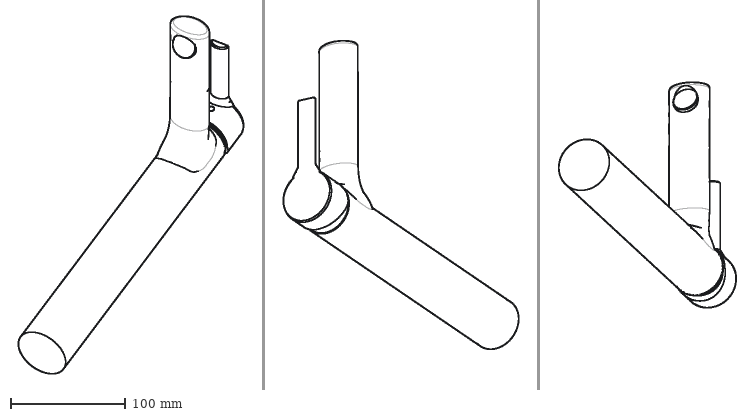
import cadquery as cq
import math


overall_length = 328.81
tube_radius = 23.5
tube_rear = 34.0

cap_radius = 48.5 / 2
cap_length = 31.3
cap_bottom_length = 21.0
cap_rear_chamfer = (2.0, 0.8)
ball_radius = 22.6
ball_rim_setback = 34.2

spout_half_width = 18.5
spout_rear = 44.1
spout_front_base = 68.0
spout_front_tip = 67.3
overall_height = 188.05
spout_tip_z = overall_height - cap_radius
spout_dome_radius = 100.0
spout_tip_fillet = 3.0

blend_front_radius = 22.5
blend_rear_margin = 1.0
blend_rear_radius = spout_rear - tube_rear - blend_rear_margin
blend_side_radius = 93.0
blend_side_top_z = 33.0
blend_bottom_z = 8.0
blend_squareness = 2.5
blend_levels_above_tube = 6
blend_levels_below_tube = 3
section_points = 24

outlet_radius = 11.4
outlet_setback = 66.8
outlet_z = 147.2
outlet_tilt = math.radians(21.4)
outlet_chamfer = 0.7
outlet_depth = 10.0
outlet_clearance = 30.0

lever_half_width = 8.7
lever_thickness = 6.5
lever_tip_z = 91.8
lever_tip_chamfer = 1.2
lever_foot_half_width = 14.0
lever_foot_radius = 4.4
lever_foot_bottom_z = 19.5
lever_foot_levels = 5

indicator_diameter = 5.5
indicator_setback = 16.5
indicator_depth = 0.5


def arc_flare(radius, drop):
    """Outward offset of a concave arc that starts vertical, after falling by drop."""
    drop = min(max(drop, 0.0), radius)
    return radius - math.sqrt(radius**2 - drop**2)


def rounded_section(z, half_width, rear, front, exponent=2.0):
    """Closed level outline: an ellipse at exponent 2, squarer above it."""
    half_depth = (front - rear) / 2
    middle = (front + rear) / 2

    def power(value):
        return math.copysign(abs(value) ** (2 / exponent), value)

    points = []
    for i in range(section_points):
        angle = 2 * math.pi * i / section_points
        x = half_width * power(math.sin(angle))
        y = -middle - half_depth * power(math.cos(angle))
        points.append(cq.Vector(x, y, z))
    return cq.Wire.assembleEdges([cq.Edge.makeSpline(points, periodic=True)])


def loft(wires):
    return cq.Workplane(obj=cq.occ_impl.shapes.loft(wires, cap=True, continuity="C1"))


def cylinder_along_y(radius, rear, front):
    return cq.Workplane("XZ", origin=(0, -rear, 0)).circle(radius).extrude(front - rear)


def make_cap():
    chamfer_depth, chamfer_height = cap_rear_chamfer
    profile = [
        (0, 0),
        (cap_radius - chamfer_height, 0),
        (cap_radius, -chamfer_depth),
        (cap_radius, -cap_length),
        (0, -cap_length),
    ]
    cap = cq.Workplane("XY").polyline(profile).close().revolve(360, (0, 0, 0), (0, 1, 0))
    relief = (
        cq.Workplane("YZ")
        .polyline([(-cap_length, 0), (-cap_bottom_length, -cap_radius), (-cap_length, -cap_radius)])
        .close()
        .extrude(cap_radius, both=True)
    )
    dimple = (
        cq.Workplane("XY", origin=(0, -indicator_setback, cap_radius - indicator_depth))
        .circle(indicator_diameter / 2)
        .extrude(2 * indicator_depth)
    )
    return cap.cut(relief).cut(dimple)


def make_lever():
    foot_top_z = cap_radius + lever_foot_radius
    blade = (
        cq.Workplane("XY", origin=(0, 0, foot_top_z))
        .ellipse(lever_half_width, lever_thickness)
        .extrude(lever_tip_z - foot_top_z)
        .faces(">Z")
        .chamfer(lever_tip_chamfer)
    )
    sections = []
    for i in range(lever_foot_levels):
        drop = lever_foot_radius * math.sin(math.pi / 2 * i / (lever_foot_levels - 1))
        z = foot_top_z - drop
        share = drop / (foot_top_z - lever_foot_bottom_z)
        half_width = lever_half_width + share * (lever_foot_half_width - lever_half_width)
        depth = lever_thickness + arc_flare(lever_foot_radius, drop)
        sections.append(rounded_section(z, half_width, -depth, depth))
    foot_depth = lever_thickness + lever_foot_radius
    bottom = rounded_section(lever_foot_bottom_z, lever_foot_half_width, -foot_depth, foot_depth)
    lever = blade.union(loft(sections + [bottom]))
    keep = cq.Workplane("XY").box(
        2 * cap_radius, cap_radius, 2 * lever_tip_z, centered=(True, False, True)
    ).translate((0, -cap_radius, 0))
    return lever.intersect(keep)


def blend_section(z):
    front = spout_front_base + arc_flare(blend_front_radius, tube_radius + blend_front_radius - z)
    rear = spout_rear - arc_flare(blend_rear_radius, tube_radius + blend_rear_radius - z)
    half_width = spout_half_width + arc_flare(blend_side_radius, blend_side_top_z - z)
    share = max(0.0, (tube_radius - z) / (tube_radius - blend_bottom_z))
    exponent = 2 + blend_squareness * math.sqrt(share)
    return rounded_section(z, half_width, rear, front, exponent)


def make_blend():
    sections = []
    for i in range(blend_levels_above_tube + 1):
        fall = math.sin(math.pi / 2 * i / blend_levels_above_tube)
        sections.append(blend_section(tube_radius + blend_front_radius * (1 - fall)))
    for i in range(1, blend_levels_below_tube + 1):
        share = i / blend_levels_below_tube
        sections.append(blend_section(tube_radius - share * (tube_radius - blend_bottom_z)))
    return loft(sections)


def make_spout():
    base_z = tube_radius + blend_front_radius
    base = rounded_section(base_z, spout_half_width, spout_rear, spout_front_base)
    tip = rounded_section(spout_tip_z, spout_half_width, spout_rear, spout_front_tip)
    middle = (spout_rear + spout_front_tip) / 2
    dome_center_z = spout_tip_z - spout_dome_radius
    dome = cq.Workplane("XZ", origin=(0, -middle, dome_center_z)).sphere(spout_dome_radius)
    return loft([base, tip]).intersect(dome).faces(">Z").edges().fillet(spout_tip_fillet)


def add_outlet(spout_blank):
    face_plane = cq.Plane(
        origin=(0, -outlet_setback, outlet_z),
        xDir=(1, 0, 0),
        normal=(0, -math.cos(outlet_tilt), math.sin(outlet_tilt)),
    )
    recess = cq.Workplane(face_plane).circle(outlet_radius).extrude(outlet_clearance)
    disc = cq.Workplane(face_plane).circle(outlet_radius).extrude(-outlet_depth)
    rim = disc.faces(cq.selectors.DirectionMinMaxSelector(face_plane.zDir)).edges()
    return spout_blank.cut(recess).union(rim.chamfer(outlet_chamfer))


tube = cylinder_along_y(tube_radius, tube_rear, overall_length)
ball = cq.Workplane("XY", origin=(0, -ball_rim_setback, 0)).sphere(ball_radius)
spout = add_outlet(make_spout())
body = tube.union(ball).union(make_blend()).union(spout)
result = body.union(make_cap()).union(make_lever()).solids()